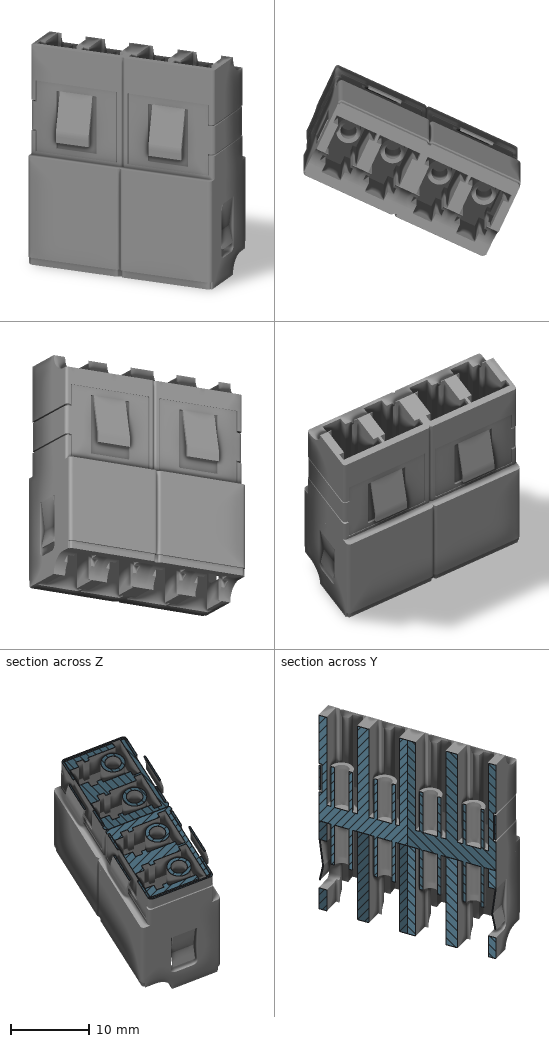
import cadquery as cq
import math


adapter_width = 12.85
height = 29.35
overall_depth = 11.7

upper_depth = 9.33
upper_corner_radius = 0.38
flange_depth = 11.33
flange_corner_radius = 0.5
flange_top = 14.6
seam_height = 13.3
notch_radius = 2.4
notch_start_y = 1.35

rebate_depth = 0.2
rebate_height = 1.0

port_pitch = 6.1
port_floor_height = height - seam_height
port_bottom_y = -3.73
port_foot_top_y = -2.67
port_rib_bottom_y = 1.25
port_rib_top_y = 2.0
port_body_top_y = 2.95
port_key_top_y = 4.2
port_foot_width = 5.75
port_body_width = 4.37
port_rib_gap = 3.43
port_key_width = 2.67

sleeve_pitch = 6.25
sleeve_y = -1.25
sleeve_radius = 1.58
sleeve_bore_radius = 1.03
sleeve_end_height = 7.25

clip_thickness = 0.25
clip_inset = 0.05
clip_corner_radius = 0.5
clip_center_height = 19.85
clip_height = 9.56
clip_width = 11.15
clip_side_gap = 0.12
side_recess_depth = 0.38
clip_inner_corner_radius = 0.15
band_height = 3.75
band_gap = 0.23
tab_window_width = 5.6
tab_window_top = 23.62
tab_window_bottom = 15.8
tab_width = 4.58
tab_offset = -0.05
tab_bottom = 17.08
tab_bend_height = 18.3
tab_bend_radius = 3.08

clip_outer_depth = upper_depth - 2 * clip_inset

window_top = 10.5
window_bottom = 3.23
window_front_y = -2.32
window_back_y = 1.53
window_corner_radius = 0.73
shutter_front_y = -1.95
shutter_back_y = 1.2
shutter_bend_height = 6.7
shutter_bottom = 4.37
shutter_bend_depth = 0.5
shutter_thickness = 0.2
shutter_corner_radius = 0.18


def box(x_range, y_range, z_range):
    """Box between the given limits."""
    size = [high - low for low, high in (x_range, y_range, z_range)]
    corner = (x_range[0], y_range[0], z_range[0])
    return cq.Workplane("XY").box(*size, centered=False).translate(corner)


def rounded_block(width, depth, radius, bottom, top):
    """Upright block centered on the Z axis with rounded vertical edges."""
    block = cq.Workplane("XY").workplane(offset=bottom).rect(width, depth).extrude(top - bottom)
    return block.edges("|Z").fillet(radius)


def end_notch(end_height, inward):
    """Rounded notch along the +Y edge of one end; inward is the Z direction into the body."""
    center_y = notch_start_y + notch_radius
    floor = end_height + inward * notch_radius
    mid_offset = notch_radius * math.sqrt(0.5)
    return (
        cq.Workplane("YZ")
        .moveTo(notch_start_y, end_height)
        .threePointArc((center_y - mid_offset, end_height + inward * mid_offset), (center_y, floor))
        .lineTo(flange_depth, floor)
        .lineTo(flange_depth, end_height)
        .close()
        .extrude(adapter_width / 2, both=True)
    )


def ports(bottom, top):
    """Pair of keyed connector openings between two heights."""
    half_profile = [
        (port_foot_width / 2, port_bottom_y),
        (port_foot_width / 2, port_foot_top_y),
        (port_body_width / 2, port_foot_top_y),
        (port_body_width / 2, port_rib_bottom_y),
        (port_rib_gap / 2, port_rib_bottom_y),
        (port_rib_gap / 2, port_rib_top_y),
        (port_body_width / 2, port_rib_top_y),
        (port_body_width / 2, port_body_top_y),
        (port_key_width / 2, port_body_top_y),
        (port_key_width / 2, port_key_top_y),
    ]
    profile = half_profile + [(-x, y) for x, y in reversed(half_profile)]
    opening = cq.Workplane("XY").workplane(offset=bottom).polyline(profile).close().extrude(top - bottom)
    left = opening.translate((-port_pitch / 2, 0, 0))
    right = opening.translate((port_pitch / 2, 0, 0))
    return left.union(right)


def sleeves(bottom, top):
    """Pair of ferrule sleeves between two heights."""
    centers = [(-sleeve_pitch / 2, sleeve_y), (sleeve_pitch / 2, sleeve_y)]
    base = cq.Workplane("XY").workplane(offset=bottom).pushPoints(centers)
    outer = base.circle(sleeve_radius).extrude(top - bottom)
    bores = base.circle(sleeve_bore_radius).extrude(top - bottom)
    return outer.cut(bores)


def wrap_zone(panel_width, side_height, side_depth):
    """Space of a wrap: both broad faces plus a narrower band around the outer side."""
    reach = adapter_width
    panel_z = (clip_center_height - clip_height / 2, clip_center_height + clip_height / 2)
    side_z = (clip_center_height - side_height / 2, clip_center_height + side_height / 2)
    panels = box((-panel_width / 2, panel_width / 2), (-reach, reach), panel_z)
    side = box((-reach, 0), (-reach, reach), side_z)
    core = rounded_block(
        adapter_width - 2 * side_depth,
        clip_outer_depth - 2 * clip_thickness,
        clip_corner_radius - clip_thickness,
        0,
        height,
    )
    return panels.union(side).cut(core)


def make_upper_housing():
    body = rounded_block(adapter_width, upper_depth, upper_corner_radius, seam_height, height)
    flange = rounded_block(adapter_width, flange_depth, flange_corner_radius, seam_height, flange_top)
    clip_recess = wrap_zone(
        clip_width + 2 * clip_side_gap,
        band_height + 2 * band_gap,
        side_recess_depth,
    )
    return (
        body.union(flange)
        .cut(end_notch(height, -1))
        .cut(clip_recess)
        .cut(ports(port_floor_height, height))
        .union(sleeves(port_floor_height, height - sleeve_end_height))
        .union(sleeves(sleeve_end_height, seam_height))
    )


def foot_rebate(side, top):
    """Rebate around the foot of one broad face (side is -1 or +1 along Y) and its two corners."""
    face_y = side * flange_depth / 2
    corner_y = face_y - side * flange_corner_radius
    strip = box((-adapter_width / 2, adapter_width / 2), sorted((face_y, corner_y)), (0, top))
    core = rounded_block(
        adapter_width - 2 * rebate_depth,
        flange_depth - 2 * rebate_depth,
        flange_corner_radius - rebate_depth,
        0,
        top,
    )
    return strip.cut(core)


def shutter_window():
    """Opening through the outer side wall, rounded at its bottom corners."""
    opening = box(
        (-adapter_width / 2, -port_pitch / 2),
        (window_front_y, window_back_y),
        (window_bottom, window_top),
    )
    return opening.edges("|X and <Z").fillet(window_corner_radius)


def make_lower_housing():
    body = rounded_block(adapter_width, flange_depth, flange_corner_radius, 0, seam_height)
    return (
        body.cut(end_notch(0, 1))
        .cut(foot_rebate(-1, rebate_height))
        .cut(foot_rebate(1, notch_radius + rebate_height))
        .cut(ports(0, seam_height))
        .cut(shutter_window())
    )


def clip_tab():
    """Spring tab on the -Y panel, sloping outward and ending in a straight lip."""
    root_y = -clip_outer_depth / 2
    lip_y = -overall_depth / 2
    tab = (
        cq.Workplane("YZ")
        .moveTo(root_y, tab_window_top)
        .lineTo(lip_y, tab_bend_height)
        .lineTo(lip_y, tab_bottom)
        .lineTo(lip_y + clip_thickness, tab_bottom)
        .lineTo(lip_y + clip_thickness, tab_bend_height)
        .lineTo(root_y + clip_thickness, tab_window_top)
        .close()
        .extrude(tab_width / 2, both=True)
        .translate((tab_offset, 0, 0))
    )
    outer_bend = cq.selectors.NearestToPointSelector((tab_offset, lip_y, tab_bend_height))
    tab = tab.edges(outer_bend).fillet(tab_bend_radius)
    inner_bend = cq.selectors.NearestToPointSelector((tab_offset, lip_y + clip_thickness, tab_bend_height))
    return tab.edges(inner_bend).fillet(tab_bend_radius - clip_thickness)


def make_clip():
    sheet = rounded_block(adapter_width, clip_outer_depth, clip_corner_radius, 0, height)
    tab_windows = box(
        (-tab_window_width / 2, tab_window_width / 2),
        (-upper_depth, upper_depth),
        (tab_window_bottom, tab_window_top),
    )
    tab_windows = tab_windows.edges("|Y and >X").fillet(clip_inner_corner_radius)
    tab_root = box(
        (tab_offset - tab_width / 2, tab_offset + tab_width / 2),
        (-clip_outer_depth / 2, -clip_outer_depth / 2 + clip_thickness),
        (tab_window_top, tab_window_top + clip_thickness),
    )
    front_tab = clip_tab().union(tab_root)
    back_tab = front_tab.mirror("XZ")
    wrap = sheet.intersect(wrap_zone(clip_width, band_height, clip_thickness))
    wrap = wrap.edges("|Y and >X").fillet(clip_inner_corner_radius)
    return wrap.cut(tab_windows).union(front_tab).union(back_tab)


def make_shutter():
    """Leaf bent inward to a shallow V, hanging from the top of its window."""
    face_x = -adapter_width / 2
    bend_x = face_x + shutter_bend_depth
    leaf = (
        cq.Workplane("XZ", origin=(0, shutter_back_y, 0))
        .moveTo(face_x, window_top)
        .lineTo(bend_x, shutter_bend_height)
        .lineTo(face_x, shutter_bottom)
        .lineTo(face_x + shutter_thickness, shutter_bottom)
        .lineTo(bend_x + shutter_thickness, shutter_bend_height)
        .lineTo(face_x + shutter_thickness, window_top)
        .close()
        .extrude(shutter_back_y - shutter_front_y)
    )
    return leaf.faces("<Z").edges("|X").fillet(shutter_corner_radius)


bodies = []
for make_body in (make_upper_housing, make_lower_housing, make_clip, make_shutter):
    left_body = make_body().translate((-adapter_width / 2, 0, 0))
    bodies += [left_body.val(), left_body.mirror("YZ").val()]

result = cq.Compound.makeCompound(bodies)